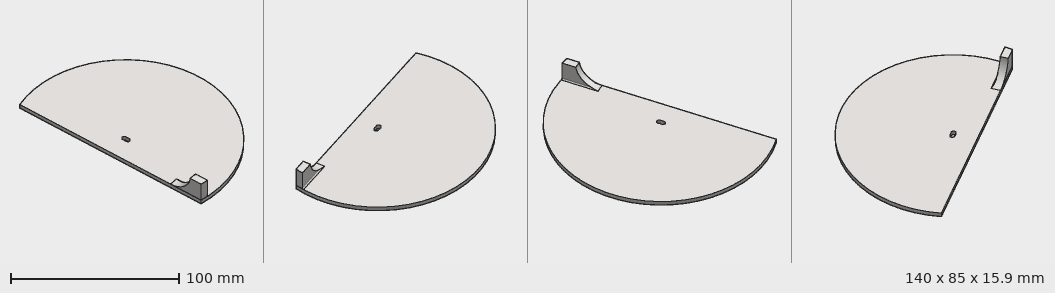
import cadquery as cq
import math

disc_radius = 70.0
front_edge_distance = 15.0
plate_thickness = 3.0
front_y = -front_edge_distance

slot_length = 5.5
slot_width = 3.0

block_height = 12.9
block_top_z = plate_thickness + block_height
block_depth = 5.0
base_fillet_radius = 0.8
block_left_x = 60.1
ramp_radius = 15.0
ramp_reach = math.sqrt(ramp_radius**2 - (ramp_radius - block_height) ** 2)
ramp_start_x = block_left_x - ramp_reach


def disc_segment(bottom_z, height):
    """Disc cut off along the front edge."""
    disc = cq.Workplane("XY", origin=(0, 0, bottom_z)).circle(disc_radius).extrude(height)
    kept_length = disc_radius + front_edge_distance
    kept = (
        cq.Workplane("XY", origin=(0, front_y + kept_length / 2, bottom_z))
        .rect(2 * disc_radius, kept_length)
        .extrude(height)
    )
    return disc.intersect(kept)


def make_plate():
    slot = cq.Workplane("XY").slot2D(slot_length, slot_width).extrude(plate_thickness)
    return disc_segment(0, plate_thickness).cut(slot)


def ramp_outline():
    """Front outline of the block and its ramp, extruded to the full depth of the foot."""
    half_angle = math.asin(ramp_reach / ramp_radius) / 2
    ramp_middle = (
        ramp_start_x + ramp_radius * math.sin(half_angle),
        plate_thickness + ramp_radius * (1 - math.cos(half_angle)),
    )
    return (
        cq.Workplane("XZ", origin=(0, front_y, 0))
        .moveTo(ramp_start_x, plate_thickness)
        .threePointArc(ramp_middle, (block_left_x, block_top_z))
        .lineTo(disc_radius, block_top_z)
        .lineTo(disc_radius, plate_thickness)
        .close()
        .extrude(-(block_depth + base_fillet_radius))
    )


def block_section():
    """Side section of the block, with the fillet at the foot of its back face, extruded along X."""
    back_y = front_y + block_depth
    fillet_offset = base_fillet_radius * (1 - math.sqrt(0.5))
    return (
        cq.Workplane("YZ")
        .moveTo(front_y, plate_thickness)
        .lineTo(back_y + base_fillet_radius, plate_thickness)
        .threePointArc(
            (back_y + fillet_offset, plate_thickness + fillet_offset),
            (back_y, plate_thickness + base_fillet_radius),
        )
        .lineTo(back_y, block_top_z)
        .lineTo(front_y, block_top_z)
        .close()
        .extrude(disc_radius)
    )


def make_stop_block():
    """Block whose ramp runs out tangent to the plate and whose end follows the disc rim."""
    rim_limit = disc_segment(plate_thickness, block_height)
    return ramp_outline().intersect(block_section()).intersect(rim_limit)


plate = make_plate()
stop_block = make_stop_block()
result = cq.Compound.makeCompound([plate.solids().val(), stop_block.solids().val()])